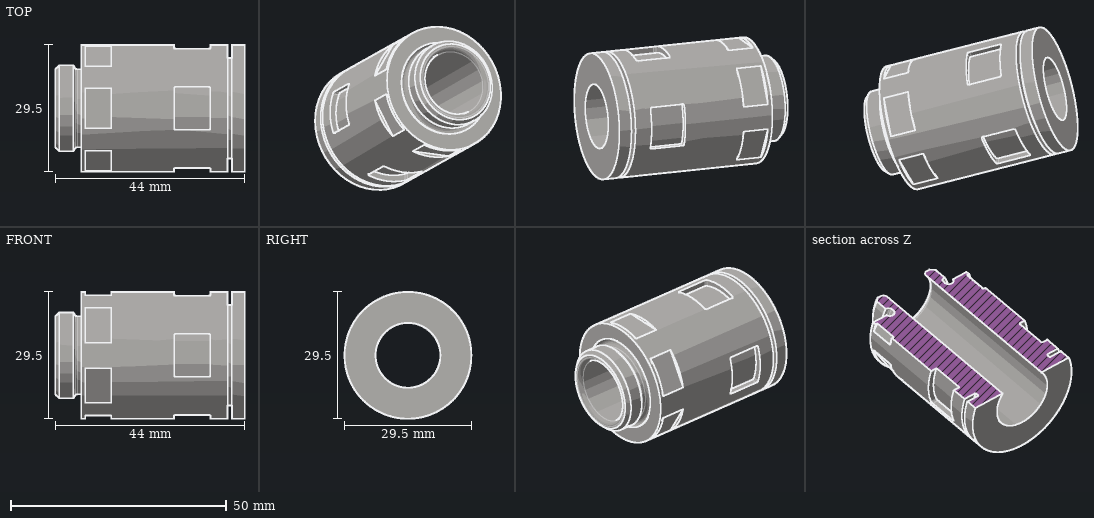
import cadquery as cq
import math


total_length = 44.0
nose_chamfer_length = 1.0
nose_end = 4.25
body_start = 6.0
groove_start = 40.0
groove_width = 1.0

bore_diameter = 15.0
nose_diameter = 20.0
neck_diameter = 18.16
body_diameter = 29.5
groove_diameter = 23.4

relief_angle = math.radians(60.0)
relief_radius = 0.5

mouth_radius = 1.0
recess_outer_diameter = 21.9

flat_count = 6
flats_across = 28.0
flats_start = 7.0
flats_end = 13.0

pocket_count = 4
pocket_start = 27.6
pocket_end = 36.0
pocket_width = 10.0
pocket_depth = 1.5
pocket_corner_radius = 0.4

cutter_margin = 1.0


def turned_body():
    """Revolved half section: bore, nose, thread relief, neck, recess, body, groove and end collar."""
    bore_r = bore_diameter / 2
    nose_r = nose_diameter / 2
    neck_r = neck_diameter / 2
    body_r = body_diameter / 2
    groove_r = groove_diameter / 2
    recess_outer_r = recess_outer_diameter / 2

    mouth_r = bore_r + mouth_radius
    mouth_mid_offset = mouth_radius * (1 - math.sqrt(0.5))

    cone_end_r = neck_r + relief_radius * (1 - math.cos(relief_angle))
    cone_end_x = nose_end + (nose_r - cone_end_r) / math.tan(relief_angle)
    neck_start = cone_end_x + relief_radius * math.sin(relief_angle)
    arc_mid_x = neck_start - relief_radius * math.sin(relief_angle / 2)
    arc_mid_r = neck_r + relief_radius * (1 - math.cos(relief_angle / 2))

    recess_radius = (recess_outer_r - neck_r) / 2
    recess_mid_r = neck_r + recess_radius

    groove_end = groove_start + groove_width

    profile = (
        cq.Workplane("XY")
        .moveTo(mouth_radius, bore_r)
        .threePointArc((mouth_mid_offset, bore_r + mouth_mid_offset), (0, mouth_r))
        .lineTo(0, neck_r)
        .lineTo(nose_chamfer_length, nose_r)
        .lineTo(nose_end, nose_r)
        .lineTo(cone_end_x, cone_end_r)
        .threePointArc((arc_mid_x, arc_mid_r), (neck_start, neck_r))
        .lineTo(body_start, neck_r)
        .threePointArc((body_start + recess_radius, recess_mid_r), (body_start, recess_outer_r))
        .lineTo(body_start, body_r)
        .lineTo(groove_start, body_r)
        .lineTo(groove_start, groove_r)
        .lineTo(groove_end, groove_r)
        .lineTo(groove_end, body_r)
        .lineTo(total_length, body_r)
        .lineTo(total_length, bore_r)
        .close()
    )
    return profile.revolve(360, (0, 0, 0), (1, 0, 0))


def around_axis(shape, index, count):
    """Turn a shape about the X axis to its place in an evenly spaced ring."""
    return shape.rotate((0, 0, 0), (1, 0, 0), index * 360 / count)


def flat_cutter():
    """Block standing above one wrench flat on the +Z side."""
    length = flats_end - flats_start
    height = body_diameter / 2 - flats_across / 2 + cutter_margin
    return (
        cq.Workplane("XY")
        .box(length, body_diameter, height, centered=(False, True, False))
        .translate((flats_start, 0, flats_across / 2))
    )


def pocket_cutter():
    """Rounded block on the +Z side, hollowed below so that the pocket floor is cylindrical."""
    length = pocket_end - pocket_start
    block = (
        cq.Workplane("XY")
        .box(length, pocket_width, body_diameter / 2 + cutter_margin, centered=(False, True, False))
        .edges("|Z")
        .fillet(pocket_corner_radius)
        .translate((pocket_start, 0, 0))
    )
    floor_radius = body_diameter / 2 - pocket_depth
    floor_core = cq.Workplane("YZ").circle(floor_radius).extrude(total_length)
    return block.cut(floor_core)


result = turned_body()

wrench_flat = flat_cutter()
for i in range(flat_count):
    result = result.cut(around_axis(wrench_flat, i, flat_count))

window_pocket = pocket_cutter()
for i in range(pocket_count):
    result = result.cut(around_axis(window_pocket, i, pocket_count))